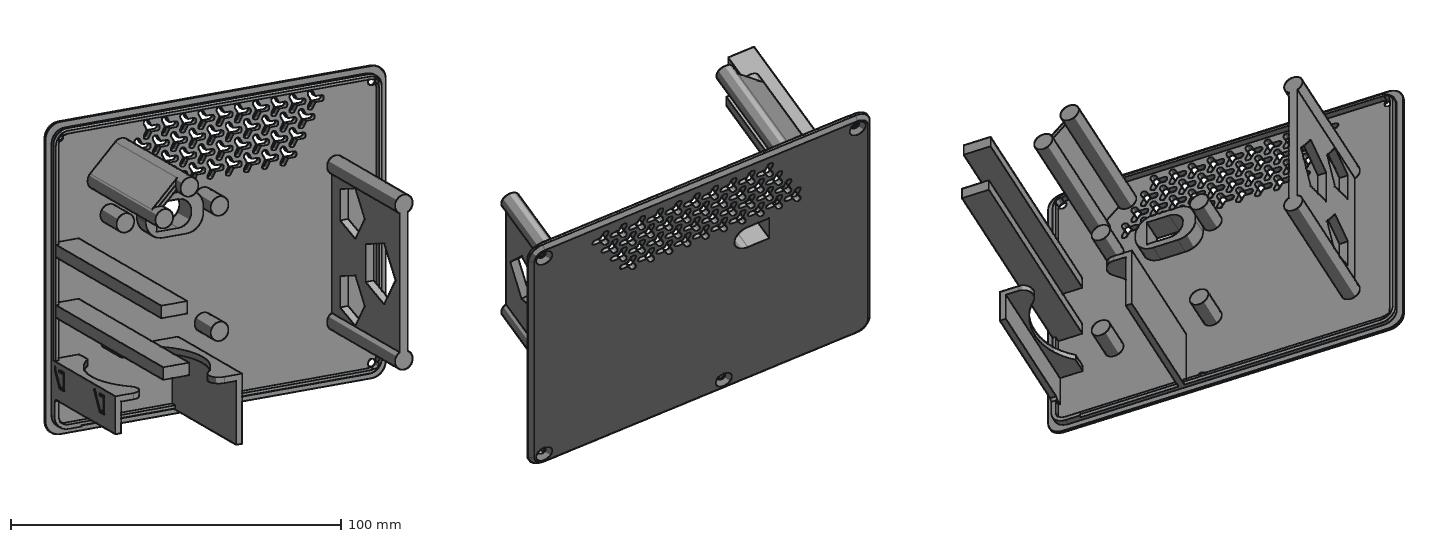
import cadquery as cq
import math


width = 118.0
height = 100.0
corner_radius = 5.0
bevel_depth = 1.2
bevel_inset = 1.4
plate_thickness = 2.0

lip_inset = 2.0
lip_end = 4.0
lip_bevel_depth = 0.8
lip_bevel_inset = 0.5
lip_width = width - 2 * lip_inset
lip_height = height - 2 * lip_inset
lip_corner_radius = 4.7
lip_wall = 1.4

screw_y = 54.2
screw_z = 45.1
bottom_screw_y = -7.9
screw_diameter = 2.6
countersink_diameter = 5.5
countersink_angle = 90

vent_rows = 4
vent_columns = 10
vent_row_span = 56.9
vent_pitch = vent_row_span / (vent_columns - 1)
vent_first_y = 34.1
vent_first_z = 42.6
vent_arm = 2.5
vent_arm_width = 1.9

opening_height = 9.2
opening_length = 12.0
opening_flat_y = -23.6
opening_z = 16.0
collar_end = 7.7
collar_length = 20.0
collar_height = 13.7
collar_flat_y = -27.4
collar_corner_radius = 5.9

post_radius = 3.1
post_end = 44.4
upper_post_y, upper_post_z = -32.7, 38.2
post_step = 8.7
sloped_web_end = 41.3
sloped_web_thickness = 2.0
sloped_web_bevel = 0.7
web_posts_y = 41.7
web_post_zs = (20.4, -29.5)
web_thickness = 2.8

web_middle_z = sum(web_post_zs) / 2
small_window_x = 14.0
small_window_offset = 13.9
small_window_radius = 8.5
large_window_x = 31.4
large_window_radius = 10.3

peg_radius = 3.1
peg_end = 12.0
peg_ys = (-4.2, -36.9)
peg_zs = (17.8, -22.3)

bar_width = 9.0
bar_thickness = 4.0
bar_outer_y = -56.5
bar_offset_z = 9.7
upper_bar_end = 69.6
lower_bar_end = 70.8

cradle_end = 41.9
cradle_outer_y = -lip_width / 2
cradle_width = 43.9
cradle_x = 22.2
cradle_radius = 19.2
cradle_tip_radius = 3.4
cradle_top = -25.5
cradle_bottom = -lip_height / 2
flange_thickness = 2.0
wall_thickness = 2.0
outer_wall_bottom = -37.6
root_chamfer = 0.8

mark_count = 2
mark_pitch = 25.0
mark_width = 0.6
mark_depth = 0.4
mark_points = ((3.8, -27.4), (7.2, -33.2), (9.7, -33.2), (9.7, -27.8), (7.0, -27.8))


def plane_at(x):
    """Sketch plane parallel to the plate, drawn in Y and Z."""
    return cq.Workplane("YZ", origin=(x, 0, 0))


def box(x_range, y_range, z_range):
    size = [abs(b - a) for a, b in (x_range, y_range, z_range)]
    corner = [min(pair) for pair in (x_range, y_range, z_range)]
    return cq.Workplane("XY").box(*size, centered=False).translate(tuple(corner))


def rounded_rectangle(x, y_size, z_size, radius):
    sketch = cq.Sketch().rect(y_size, z_size).vertices().fillet(radius)
    return plane_at(x).placeSketch(sketch)


def post(y, z, radius, end):
    return plane_at(plate_thickness).center(y, z).circle(radius).extrude(end - plate_thickness)


def plate():
    bevel_angle = math.degrees(math.atan(bevel_inset / bevel_depth))
    rim = rounded_rectangle(bevel_depth, width, height, corner_radius)
    bevel = rounded_rectangle(bevel_depth, width, height, corner_radius)
    return rim.extrude(plate_thickness - bevel_depth).union(bevel.extrude(-bevel_depth, taper=bevel_angle))


def lip():
    """Hollow lip, bevelled at its inner edge except in the corner under the cradle."""
    bevel_start = lip_end - lip_bevel_depth
    bevel_angle = math.degrees(math.atan(lip_bevel_inset / lip_bevel_depth))
    base = rounded_rectangle(plate_thickness, lip_width, lip_height, lip_corner_radius)
    bevel = rounded_rectangle(bevel_start, lip_width, lip_height, lip_corner_radius)
    square = rounded_rectangle(bevel_start, lip_width, lip_height, lip_corner_radius)
    inside = rounded_rectangle(
        plate_thickness, lip_width - 2 * lip_wall, lip_height - 2 * lip_wall, lip_corner_radius - lip_wall
    )
    corner = box((bevel_start, lip_end), (-width / 2, bar_outer_y + bar_width), (-height / 2, cradle_top))
    return (
        base.extrude(bevel_start - plate_thickness)
        .union(bevel.extrude(lip_bevel_depth, taper=bevel_angle))
        .union(square.extrude(lip_bevel_depth).intersect(corner))
        .cut(inside.extrude(lip_end - plate_thickness))
    )


def collar():
    y_middle = collar_flat_y + collar_length / 2
    body = rounded_rectangle(plate_thickness, collar_length, collar_height, collar_corner_radius)
    return body.extrude(collar_end - plate_thickness).translate((0, y_middle, opening_z))


def sloped_web():
    """Two long posts joined by a web at 45 degrees that is flush with their outer sides."""
    lower_post_y = upper_post_y - post_step
    lower_post_z = upper_post_z - post_step
    span = post_step * math.sqrt(2)
    web = (
        box((plate_thickness, sloped_web_end), (-span, 0), (post_radius - sloped_web_thickness, post_radius))
        .edges(">X and >Z")
        .chamfer(sloped_web_bevel)
        .rotate((0, 0, 0), (1, 0, 0), 45)
        .translate((0, upper_post_y, upper_post_z))
    )
    upper_post = post(upper_post_y, upper_post_z, post_radius, post_end)
    lower_post = post(lower_post_y, lower_post_z, post_radius, post_end)
    return web.union(upper_post).union(lower_post)


def pentagon_cutter(x, z, radius):
    """Regular pentagon with one corner toward +X, running along Y through the web."""
    angles = [2 * math.pi * i / 5 for i in range(5)]
    corners = [(x + radius * math.cos(a), z + radius * math.sin(a)) for a in angles]
    sketch = cq.Workplane("XZ", origin=(0, web_posts_y, 0)).polyline(corners).close()
    return sketch.extrude(web_thickness, both=True)


def upright_web():
    half = web_thickness / 2
    body = box((plate_thickness, post_end), (web_posts_y - half, web_posts_y + half), web_post_zs)
    windows = (
        (small_window_x, web_middle_z + small_window_offset, small_window_radius),
        (large_window_x, web_middle_z, large_window_radius),
        (small_window_x, web_middle_z - small_window_offset, small_window_radius),
    )
    for window in windows:
        body = body.cut(pentagon_cutter(*window))
    for z in web_post_zs:
        body = body.union(post(web_posts_y, z, post_radius, post_end))
    return body


def guide_bar(z_middle, end):
    half = bar_thickness / 2
    y_range = (bar_outer_y, bar_outer_y + bar_width)
    return box((plate_thickness, end), y_range, (z_middle - half, z_middle + half))


def outer_flange():
    """Flange on the -Y side: straight outside, hollowed by the cylinder, with a round tip."""
    middle_y = cradle_outer_y + cradle_width / 2
    tip_x = cradle_end - cradle_tip_radius
    reach = cradle_radius + cradle_tip_radius
    tip_angle = -math.acos((tip_x - cradle_x) / reach)
    tip_y = middle_y + reach * math.sin(tip_angle)
    touch_x = cradle_x + cradle_radius * math.cos(tip_angle)
    touch_y = middle_y + cradle_radius * math.sin(tip_angle)
    peak_y = tip_y + cradle_tip_radius
    root_x = cradle_x - math.sqrt(cradle_radius**2 - (middle_y - peak_y) ** 2)
    return (
        cq.Workplane("XY", origin=(0, 0, cradle_top))
        .moveTo(plate_thickness, cradle_outer_y)
        .lineTo(cradle_end, cradle_outer_y)
        .lineTo(cradle_end, tip_y)
        .threePointArc((tip_x, peak_y), (touch_x, touch_y))
        .threePointArc((cradle_x, middle_y - cradle_radius), (root_x, peak_y))
        .lineTo(plate_thickness, peak_y)
        .close()
        .extrude(-flange_thickness)
    )


def outer_wall():
    """Wall under the outer flange, with a small chamfer where its lower edge meets the lip."""
    return (
        cq.Workplane("XZ", origin=(0, cradle_outer_y, 0))
        .moveTo(plate_thickness, cradle_top)
        .lineTo(cradle_end, cradle_top)
        .lineTo(cradle_end, outer_wall_bottom)
        .lineTo(lip_end + root_chamfer, outer_wall_bottom)
        .lineTo(lip_end, outer_wall_bottom - root_chamfer)
        .lineTo(plate_thickness, outer_wall_bottom - root_chamfer)
        .close()
        .extrude(-wall_thickness)
    )


def mark_cutter():
    """Stroke of constant width following the mark's corners, sunk into the outer wall."""
    cutter = cq.Workplane("XY")
    for (x0, z0), (x1, z1) in zip(mark_points, mark_points[1:]):
        length = math.hypot(x1 - x0, z1 - z0)
        angle = math.degrees(math.atan2(z1 - z0, x1 - x0))
        stroke = cq.Workplane("XZ").slot2D(length + mark_width, mark_width, angle)
        stroke = stroke.extrude(mark_depth, both=True)
        cutter = cutter.union(stroke.translate(((x0 + x1) / 2, cradle_outer_y, (z0 + z1) / 2)))
    return cutter


def cradle():
    middle_y = cradle_outer_y + cradle_width / 2
    inner_y = cradle_outer_y + cradle_width
    outer_arm = outer_flange().union(outer_wall())
    for i in range(mark_count):
        outer_arm = outer_arm.cut(mark_cutter().translate((i * mark_pitch, 0, 0)))
    inner_flange = outer_flange().mirror("XZ", (0, middle_y, 0))
    inner_wall = box(
        (plate_thickness, cradle_end), (inner_y - wall_thickness, inner_y), (cradle_bottom, cradle_top)
    )
    return outer_arm.union(inner_flange).union(inner_wall)


def vent_cutter():
    """One three-armed opening with an arm toward +Y, at the plate centre."""
    cutter = cq.Workplane("XY")
    for angle in (0, 120, 240):
        arm = (
            plane_at(0)
            .transformed(rotate=(0, 0, angle))
            .center(vent_arm / 2, 0)
            .slot2D(vent_arm + vent_arm_width, vent_arm_width)
            .extrude(plate_thickness)
        )
        cutter = cutter.union(arm)
    return cutter


def vent():
    """All vent openings: each row starts half a pitch further toward -Y than the one above."""
    opening = vent_cutter().val()
    row_pitch = vent_pitch * math.sin(math.radians(60))
    places = [
        (vent_first_y - vent_pitch * (column + row / 2), vent_first_z - row_pitch * row)
        for row in range(vent_rows)
        for column in range(vent_columns)
    ]
    openings = [opening.translate(cq.Vector(0, y, z)) for y, z in places]
    return cq.Workplane(cq.Compound.makeCompound(openings))


def opening_cutter():
    half = opening_height / 2
    arc_y = opening_flat_y + opening_length - half
    return (
        plane_at(0)
        .moveTo(opening_flat_y, opening_z - half)
        .lineTo(arc_y, opening_z - half)
        .threePointArc((arc_y + half, opening_z), (arc_y, opening_z + half))
        .lineTo(opening_flat_y, opening_z + half)
        .close()
        .extrude(collar_end)
    )


def screw_cutter(y, z):
    cone_depth = (countersink_diameter - screw_diameter) / 2 / math.tan(math.radians(countersink_angle / 2))
    hole = plane_at(0).circle(screw_diameter / 2).extrude(lip_end)
    cone = cq.Solid.makeCone(
        countersink_diameter / 2, screw_diameter / 2, cone_depth, cq.Vector(0, 0, 0), cq.Vector(1, 0, 0)
    )
    return hole.union(cq.Workplane(cone)).translate((0, y, z))


result = plate().cut(vent()).union(lip()).union(collar())
result = result.union(sloped_web()).union(upright_web()).union(cradle())
for y in peg_ys:
    for z in peg_zs:
        result = result.union(post(y, z, peg_radius, peg_end))
result = result.union(guide_bar(bar_offset_z, upper_bar_end)).union(guide_bar(-bar_offset_z, lower_bar_end))
result = result.cut(opening_cutter())

screw_places = (
    (screw_y, screw_z),
    (-screw_y, screw_z),
    (screw_y, -screw_z),
    (bottom_screw_y, -screw_z),
)
for y, z in screw_places:
    result = result.cut(screw_cutter(y, z))